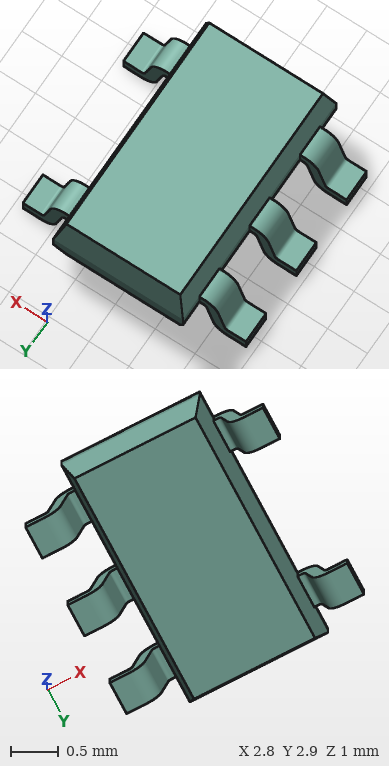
import cadquery as cq
import math


BODY_LENGTH = 2.9
BODY_WIDTH = 1.63
LEAD_SPAN = 2.8
TOTAL_HEIGHT = 1.0
STANDOFF = 0.1
DRAFT_ANGLE = 15.0
LEAD_THICKNESS = 0.15
LEAD_WIDTH = 0.38
LEAD_PITCH = 0.95
FOOT_FLAT = 0.225
SHANK_ANGLE = 15.0
INNER_BEND = 0.044

BODY_HEIGHT = TOTAL_HEIGHT - STANDOFF
DRAFT_HEIGHT = (BODY_HEIGHT - LEAD_THICKNESS) / 2
BAND_BOTTOM = STANDOFF + DRAFT_HEIGHT
BAND_TOP = BAND_BOTTOM + LEAD_THICKNESS
OUTER_BEND = INNER_BEND + LEAD_THICKNESS

LEAD_POSITIONS = [(-1, -1), (-1, 0), (-1, 1), (1, -1), (1, 1)]


def make_body():
    """Straight band as thick as the leads, tapering inward above and below."""
    upper = (
        cq.Workplane("XY", origin=(0, 0, BAND_TOP))
        .rect(BODY_WIDTH, BODY_LENGTH)
        .extrude(DRAFT_HEIGHT, taper=DRAFT_ANGLE)
    )
    band_middle = (BAND_BOTTOM + BAND_TOP) / 2
    lower = upper.mirror("XY", (0, 0, band_middle))
    band = (
        cq.Workplane("XY", origin=(0, 0, BAND_BOTTOM))
        .rect(BODY_WIDTH, BODY_LENGTH)
        .extrude(LEAD_THICKNESS)
    )
    return band.union(upper).union(lower)


def point_on_arc(center, radius, degrees):
    """Point at the given angle on a circle, measured from +X toward +Z."""
    angle = math.radians(degrees)
    return (center[0] + radius * math.cos(angle), center[1] + radius * math.sin(angle))


def make_lead(side, row):
    """Gull-wing lead with concentric bends, on the chosen side of the body."""
    tip_x = -LEAD_SPAN / 2
    body_x = -BODY_WIDTH / 2

    lean = math.radians(SHANK_ANGLE)
    rise = BAND_BOTTOM - OUTER_BEND - INNER_BEND
    run = (INNER_BEND + OUTER_BEND + rise * math.sin(lean)) / math.cos(lean)
    foot_center = (tip_x + FOOT_FLAT, OUTER_BEND)
    shoulder_center = (foot_center[0] + run, OUTER_BEND + rise)

    foot_start = -90.0
    foot_end = -SHANK_ANGLE
    foot_middle = (foot_start + foot_end) / 2
    shoulder_start = foot_end + 180
    shoulder_middle = foot_middle + 180

    profile = (
        cq.Workplane("XZ", origin=(0, LEAD_WIDTH / 2, 0))
        .moveTo(tip_x, 0)
        .lineTo(foot_center[0], 0)
        .threePointArc(
            point_on_arc(foot_center, OUTER_BEND, foot_middle),
            point_on_arc(foot_center, OUTER_BEND, foot_end),
        )
        .lineTo(*point_on_arc(shoulder_center, INNER_BEND, shoulder_start))
        .threePointArc(
            point_on_arc(shoulder_center, INNER_BEND, shoulder_middle),
            (shoulder_center[0], BAND_BOTTOM),
        )
        .lineTo(body_x, BAND_BOTTOM)
        .lineTo(body_x, BAND_TOP)
        .lineTo(shoulder_center[0], BAND_TOP)
        .threePointArc(
            point_on_arc(shoulder_center, OUTER_BEND, shoulder_middle),
            point_on_arc(shoulder_center, OUTER_BEND, shoulder_start),
        )
        .lineTo(*point_on_arc(foot_center, INNER_BEND, foot_end))
        .threePointArc(
            point_on_arc(foot_center, INNER_BEND, foot_middle),
            (foot_center[0], LEAD_THICKNESS),
        )
        .lineTo(tip_x, LEAD_THICKNESS)
        .close()
    )
    lead = profile.extrude(LEAD_WIDTH)
    if side > 0:
        lead = lead.mirror("YZ")
    return lead.translate((0, row * LEAD_PITCH, 0))


body = make_body()
leads = [make_lead(side, row) for side, row in LEAD_POSITIONS]

result = cq.Compound.makeCompound([body.val(), *[lead.val() for lead in leads]])